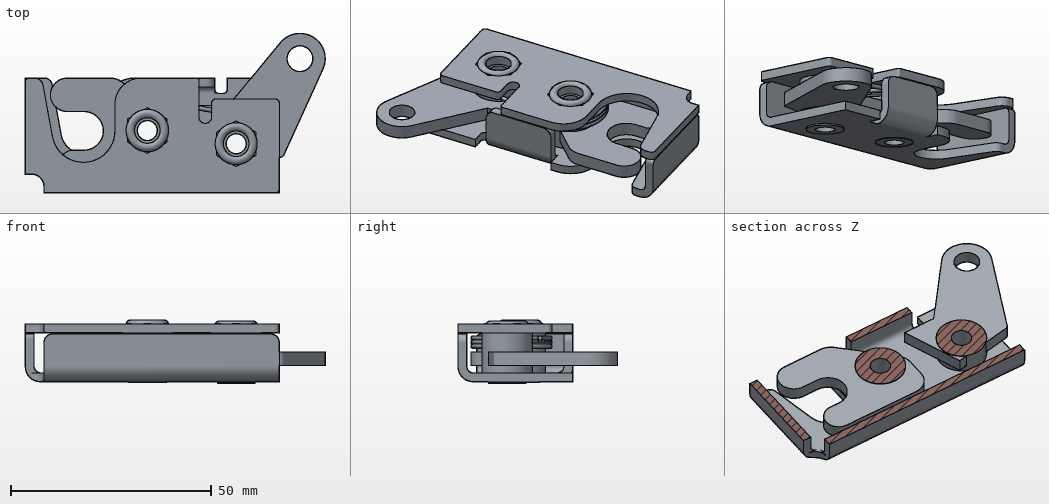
import cadquery as cq
import math

overall_length = 75.0
overall_width = 39.9

housing_length = 63.5
housing_width = 28.7
sheet = 2.25
base_height = 12.0
plate_gap = 0.2
cover_bottom = base_height + plate_gap
cover_top = cover_bottom + sheet

bend_inner = 1.6
bend_outer = bend_inner + sheet
wall_corner = 2.25
end_wall_corner = 1.2
corner_relief = 4.65
corner_relief_radius = 3.0

slot_x = 14.55
slot_y = 15.5
slot_radius = 7.9
cover_flare_radius = 6.6
base_flare_radius = 7.0
slot_lean = math.radians(10.4)
base_slot_inset = 2.25
cover_post_radius = 2.25
base_post_radius = 1.9

cover_step_x = 43.4
cover_step_y = 23.5
cover_slit_width = 3.15
cover_slit_bottom = 17.4
cover_corner = 1.05
cover_step_corner = 0.6

rear_wall_start = 29.0
rear_wall_end = 47.4
relief_width = 3.1
relief_corner = 1.0
relief_bottom = housing_width - bend_outer

layer_bottom = 4.05
layer_thickness = 3.45

catch_mouth_radius = 4.8
catch_arm_radius = 4.1
catch_arm_x = 10.4
catch_tip_radius = 3.75
catch_tip_x = 12.15
catch_corner = 4.5
catch_back_x = 37.5
catch_back_top_x = 23.25
catch_mouth_x = 14.7

lever_eye_radius = 12.7 / 2
lever_eye_x = overall_length - lever_eye_radius
lever_eye_y = overall_width - lever_eye_radius
lever_eye_hole = 6.4
lever_left_angle = math.radians(140.5)
lever_right_angle = math.radians(-24.5)
lever_foot_y = 9.0
lever_foot_corner = 1.1
lever_arm_x = 42.0
lever_arm_y = 21.8
lever_base_y = 6.0
lever_base_x = 48.0

rivets = [(30.5, 15.6, 0.0), (52.7, 12.3, -0.2)]
rivet_spool_diameter = 12.7
rivet_hole = 4.95
rivet_counterbore = 6.4
rivet_counterbore_depth = 3.0
rivet_ring_diameter = 8.4
rivet_bead_radius = 1.1
rivet_top = 15.45
rivet_foot_diameter = 9.45
rivet_foot_bottom = -0.15
rivet_hex_diameter = 11.4
rivet_hex_rise = 0.1
hexagon_sides = 6

wire_diameter = 1.05
coil_count = 3
coil_overlap = 0.015
coil_pitch = wire_diameter - coil_overlap
coil_top_z = 10.95
coil_radius = 19.3 / 2
coil_hang_angle = math.radians(-50)
coil_bite = 0.11
leg_slope = math.radians(-10)
leg_length = 13.5


def block(x0, x1, y0, y1, z0, z1):
    return cq.Workplane("XY").box(x1 - x0, y1 - y0, z1 - z0, centered=False).translate((x0, y0, z0))


def cylinder(x, y, diameter, z0, z1):
    return cq.Workplane("XY", origin=(x, y, z0)).circle(diameter / 2).extrude(z1 - z0)


def round_corner(body, x, y, z, radius):
    """Fillet the upright edge whose middle is nearest to the given point."""
    return body.edges(cq.selectors.NearestToPointSelector((x, y, z))).fillet(radius)


def polar(x, y, radius, angle):
    return (x + radius * math.cos(angle), y + radius * math.sin(angle))


def post_edge(radius, y):
    """X of the leaning slot edge at height y, tangent to the slot circle."""
    return slot_x - (radius + (y - slot_y) * math.sin(slot_lean)) / math.cos(slot_lean)


def sheet_with_slot(inset, flare, post_radius, z0):
    """Flat sheet whose rear edge carries the striker slot; its post corner is rounded."""
    radius = slot_radius - inset
    flare_diagonal = polar(slot_x + radius + flare, housing_width - flare, flare, math.radians(135))
    outline = (
        cq.Workplane("XY")
        .moveTo(0, 0)
        .lineTo(0, housing_width)
        .lineTo(post_edge(radius, housing_width), housing_width)
        .lineTo(*polar(slot_x, slot_y, radius, math.pi + slot_lean))
        .threePointArc(
            polar(slot_x, slot_y, radius, 1.5 * math.pi + slot_lean / 2),
            (slot_x + radius, slot_y),
        )
        .lineTo(slot_x + radius, housing_width - flare)
        .threePointArc(flare_diagonal, (slot_x + radius + flare, housing_width))
        .lineTo(housing_length, housing_width)
        .lineTo(housing_length, 0)
        .close()
        .extrude(sheet)
    )
    post_x = post_edge(radius, housing_width)
    rounded = round_corner(outline, post_x, housing_width, sheet / 2, post_radius)
    return rounded.translate((0, 0, z0))


def corner_notch():
    """Relief through both sheets at the corner between the two bent walls."""
    return (
        block(0, corner_relief, 0, corner_relief, 0, cover_top)
        .edges("|Z and >X and >Y").fillet(corner_relief_radius)
    )


def flange(start, end, corner, foot_start):
    """Bent wall along X at y = 0, with rounded upper corners from start to end."""
    profile = (
        cq.Workplane("YZ")
        .moveTo(bend_outer, 0)
        .radiusArc((0, bend_outer), bend_outer)
        .lineTo(0, base_height)
        .lineTo(sheet, base_height)
        .lineTo(sheet, bend_outer)
        .radiusArc((bend_outer, sheet), -bend_inner)
        .close()
        .extrude(end - foot_start)
        .translate((foot_start, 0, 0))
    )
    face = block(start, end, 0, bend_outer, 0, base_height).edges("|Y and >Z").fillet(corner)
    foot = block(foot_start, end, 0, bend_outer, 0, sheet)
    return profile.intersect(face.union(foot))


def make_base():
    floor = sheet_with_slot(base_slot_inset, base_flare_radius, base_post_radius, 0)
    floor = floor.cut(block(0, bend_outer, 0, housing_width, 0, sheet))
    floor = floor.cut(block(0, housing_length, 0, bend_outer, 0, sheet))
    floor = floor.cut(
        block(rear_wall_start, rear_wall_end, relief_bottom, housing_width, 0, sheet)
    )
    relief = (
        block(rear_wall_end, rear_wall_end + relief_width, relief_bottom, housing_width, 0, sheet)
        .edges("|Z and <Y").fillet(relief_corner)
    )
    front_wall = flange(corner_relief, housing_length, wall_corner, 0)
    end_wall = flange(corner_relief, housing_width, end_wall_corner, 0).mirror("XZ")
    end_wall = end_wall.rotate((0, 0, 0), (0, 0, 1), 90)
    rear_wall = flange(rear_wall_start, rear_wall_end, wall_corner, rear_wall_start)
    rear_wall = rear_wall.mirror("XZ").translate((0, housing_width, 0))
    base = floor.cut(relief).union(front_wall).union(end_wall).union(rear_wall)
    return base.cut(corner_notch())


def make_cover():
    cover = sheet_with_slot(0, cover_flare_radius, cover_post_radius, cover_bottom)
    slit_end = cover_step_x + cover_slit_width
    step = block(cover_step_x, housing_length, cover_step_y, housing_width, cover_bottom, cover_top)
    slit_x = (cover_step_x + slit_end) / 2
    slit_y = cover_slit_bottom + cover_slit_width / 2
    slit = block(cover_step_x, slit_end, slit_y, housing_width, cover_bottom, cover_top)
    slit = slit.union(cylinder(slit_x, slit_y, cover_slit_width, cover_bottom, cover_top))
    cover = cover.cut(step).cut(slit)
    corners = [
        (0, housing_width, cover_corner),
        (cover_step_x, housing_width, cover_step_corner),
        (slit_end, cover_step_y, cover_corner),
        (housing_length, cover_step_y, cover_corner),
        (housing_length, 0, cover_corner),
    ]
    for x, y, radius in corners:
        cover = round_corner(cover, x, y, cover_bottom + sheet / 2, radius)
    return cover.cut(corner_notch())


def make_catch():
    """C-shaped jaw with an upper arm, a lower arm and a round mouth between them."""
    arm_top = housing_width
    arm_y = arm_top - catch_arm_radius
    mouth_top = slot_y + catch_mouth_radius
    mouth_bottom = slot_y - catch_mouth_radius
    tip_y = mouth_bottom - catch_tip_radius
    tip_bottom = tip_y - catch_tip_radius
    back_y = arm_top - (catch_back_x - catch_back_top_x)
    catch = (
        cq.Workplane("XY")
        .moveTo(catch_arm_x, arm_top)
        .lineTo(catch_back_top_x, arm_top)
        .lineTo(catch_back_x, back_y)
        .lineTo(catch_back_x, tip_bottom)
        .lineTo(catch_tip_x, tip_bottom)
        .threePointArc((catch_tip_x - catch_tip_radius, tip_y), (catch_tip_x, mouth_bottom))
        .lineTo(catch_mouth_x, mouth_bottom)
        .threePointArc((catch_mouth_x + catch_mouth_radius, slot_y), (catch_mouth_x, mouth_top))
        .lineTo(catch_arm_x, mouth_top)
        .threePointArc((catch_arm_x - catch_arm_radius, arm_y), (catch_arm_x, arm_top))
        .close()
        .extrude(layer_thickness)
    )
    for x, y in [(catch_back_top_x, arm_top), (catch_back_x, back_y), (catch_back_x, tip_bottom)]:
        catch = round_corner(catch, x, y, layer_thickness / 2, catch_corner)
    return catch.translate((0, 0, layer_bottom))


def along_tangent(angle, y):
    """Point at height y on the line touching the lever eye at the given angle."""
    touch_x, touch_y = polar(lever_eye_x, lever_eye_y, lever_eye_radius, angle)
    return (touch_x - (y - touch_y) * math.tan(angle), y)


def make_lever():
    foot = along_tangent(lever_right_angle, lever_foot_y)
    top_angle = (lever_left_angle + lever_right_angle) / 2
    lever = (
        cq.Workplane("XY")
        .moveTo(*foot)
        .lineTo(*polar(lever_eye_x, lever_eye_y, lever_eye_radius, lever_right_angle))
        .threePointArc(
            polar(lever_eye_x, lever_eye_y, lever_eye_radius, top_angle),
            polar(lever_eye_x, lever_eye_y, lever_eye_radius, lever_left_angle),
        )
        .lineTo(*along_tangent(lever_left_angle, lever_arm_y))
        .lineTo(lever_arm_x, lever_arm_y)
        .lineTo(lever_base_x, lever_base_y)
        .close()
        .extrude(layer_thickness)
    )
    lever = round_corner(lever, *foot, layer_thickness / 2, lever_foot_corner)
    eye = cylinder(lever_eye_x, lever_eye_y, lever_eye_hole, 0, layer_thickness)
    return lever.cut(eye).translate((0, 0, layer_bottom))


def make_rivet(x, y, shift):
    """Spool between the sheets, a hexagon through the cover and a rolled bead on top."""
    bead_z = rivet_top - rivet_bead_radius + shift
    spool = cylinder(x, y, rivet_spool_diameter, sheet, cover_bottom)
    foot = cylinder(x, y, rivet_foot_diameter, rivet_foot_bottom + shift, sheet)
    hexagon = (
        cq.Workplane("XY", origin=(x, y, cover_bottom))
        .transformed(rotate=(0, 0, 90))
        .polygon(hexagon_sides, rivet_hex_diameter)
        .extrude(sheet + rivet_hex_rise)
    )
    bead = cq.Workplane(
        cq.Solid.makeTorus(rivet_ring_diameter / 2, rivet_bead_radius, cq.Vector(x, y, bead_z))
    )
    return spool.union(foot).union(hexagon).union(bead)


def rivet_bore(x, y, shift):
    through = cylinder(x, y, rivet_hole, rivet_foot_bottom + shift, rivet_top + shift)
    recess_floor = rivet_top + shift - rivet_counterbore_depth
    return through.union(cylinder(x, y, rivet_counterbore, recess_floor, rivet_top + shift))


def make_spring():
    """Stacked coils bearing on the spool, with one straight leg leaving the top coil."""
    spool_x, spool_y, _ = rivets[0]
    hang = coil_radius - wire_diameter / 2 - rivet_spool_diameter / 2 + coil_bite
    x, y = polar(spool_x, spool_y, hang, coil_hang_angle)
    spring = cq.Workplane("XY")
    for index in range(coil_count):
        center = cq.Vector(x, y, coil_top_z - index * coil_pitch)
        spring = spring.union(cq.Workplane(cq.Solid.makeTorus(coil_radius, wire_diameter / 2, center)))
    leg_x, leg_y = polar(x, y, coil_radius, leg_slope + math.pi / 2)
    leg = cq.Solid.makeCylinder(
        wire_diameter / 2,
        leg_length,
        cq.Vector(leg_x, leg_y, coil_top_z),
        cq.Vector(math.cos(leg_slope), math.sin(leg_slope), 0),
    )
    return spring.union(cq.Workplane(leg))


result = make_base().union(make_cover()).union(make_catch()).union(make_lever())
for rivet in rivets:
    result = result.union(make_rivet(*rivet))
result = result.union(make_spring())
for rivet in rivets:
    result = result.cut(rivet_bore(*rivet))